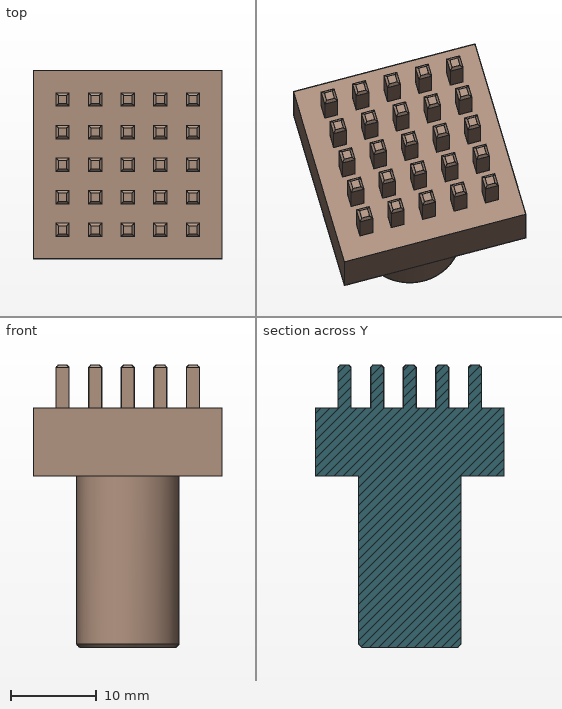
import cadquery as cq

total_height = 33.0
block_side = 22.0
block_height = 8.0
pin_height = 5.0
pin_side = 1.55
pin_span = 15.2
pins_per_side = 5
pin_chamfer = 0.3
shank_diameter = 12.0
shank_chamfer = 0.4

shank_height = total_height - block_height - pin_height
block_top = shank_height + block_height
pin_pitch = pin_span / (pins_per_side - 1)


def make_shank():
    """Round shank standing on Z = 0, chamfered at its free end."""
    return (
        cq.Workplane("XY")
        .circle(shank_diameter / 2)
        .extrude(shank_height)
        .faces("<Z")
        .chamfer(shank_chamfer)
    )


def make_block():
    """Square block centred on top of the shank."""
    return (
        cq.Workplane("XY")
        .workplane(offset=shank_height)
        .rect(block_side, block_side)
        .extrude(block_height)
    )


def make_pins():
    """Square grid of square pins with chamfered tips."""
    return (
        cq.Workplane("XY")
        .workplane(offset=block_top)
        .rarray(pin_pitch, pin_pitch, pins_per_side, pins_per_side)
        .rect(pin_side, pin_side)
        .extrude(pin_height)
        .faces(">Z")
        .chamfer(pin_chamfer)
    )


result = make_shank().union(make_block()).union(make_pins())